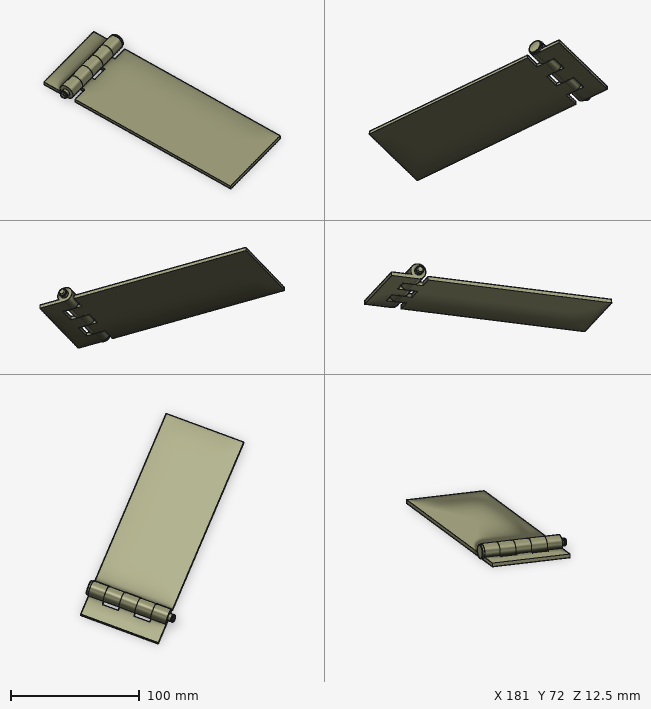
import cadquery as cq

TOTAL_WIDTH = 181.0
LEAF_LENGTH = 65.0
LEAF_THICKNESS = 3.0
END_SLANT = 0.4

KNUCKLE_RADIUS = 12.5 / 2
KNUCKLE_COUNT = 5
OUTER_KNUCKLE_LENGTH = 12.7
INNER_KNUCKLE_LENGTH = (LEAF_LENGTH - 2 * OUTER_KNUCKLE_LENGTH) / (KNUCKLE_COUNT - 2)
AXIS_X = 21.9
AXIS_Z = KNUCKLE_RADIUS
LEAF_SETBACK = 8.1

PIN_RADIUS = 3.0
HEAD_RADIUS = 5.8
HEAD_LENGTH = 2.0
HEAD_CHAMFER = 0.5
TIP_LENGTH = 72.0 - LEAF_LENGTH - HEAD_LENGTH
TIP_CHAMFER = 0.9
GROOVE_RADIUS = 2.7
GROOVE_WIDTH = 0.9
GROOVE_OFFSET = 2.5


def box(x_start, x_end, y_start, y_end, height):
    """Box standing on the underside plane of the leaves."""
    return cq.Workplane("XY").box(
        x_end - x_start, y_end - y_start, height, centered=False
    ).translate((x_start, y_start, 0))


def axis_cylinder(radius, y_start, y_end):
    """Cylinder on the pin axis."""
    return (
        cq.Workplane("XZ", origin=(AXIS_X, y_start, AXIS_Z))
        .circle(radius)
        .extrude(y_start - y_end)
    )


def knuckle_span(index):
    """Start and end of a knuckle along Y, counted from the pin tip end."""
    def boundary(number):
        if number == 0:
            return 0.0
        if number == KNUCKLE_COUNT:
            return LEAF_LENGTH
        return OUTER_KNUCKLE_LENGTH + (number - 1) * INNER_KNUCKLE_LENGTH

    return boundary(index), boundary(index + 1)


def make_leaf(outer_edge_x, side, knuckle_indices):
    """Leaf on one side of the axis (-1 or +1) with its share of the knuckles."""
    inner_edge_x = AXIS_X + side * LEAF_SETBACK
    x_start, x_end = sorted((outer_edge_x, inner_edge_x))
    leaf = box(x_start, x_end, 0, LEAF_LENGTH, LEAF_THICKNESS)
    for index in knuckle_indices:
        y_start, y_end = knuckle_span(index)
        x_start, x_end = sorted((inner_edge_x, AXIS_X))
        leaf = leaf.union(box(x_start, x_end, y_start, y_end, LEAF_THICKNESS))
        leaf = leaf.union(axis_cylinder(KNUCKLE_RADIUS, y_start, y_end))
    return leaf.cut(axis_cylinder(PIN_RADIUS, 0, LEAF_LENGTH))


def make_pin():
    """Headed pin with a retaining groove close to its chamfered tip."""
    shank = axis_cylinder(PIN_RADIUS, -TIP_LENGTH, LEAF_LENGTH).faces("<Y").chamfer(TIP_CHAMFER)
    head = axis_cylinder(HEAD_RADIUS, LEAF_LENGTH, LEAF_LENGTH + HEAD_LENGTH)
    head = head.faces(">Y").chamfer(HEAD_CHAMFER)
    groove_start = -GROOVE_OFFSET - GROOVE_WIDTH
    groove = axis_cylinder(PIN_RADIUS, groove_start, -GROOVE_OFFSET).cut(
        axis_cylinder(GROOVE_RADIUS, groove_start, -GROOVE_OFFSET)
    )
    return shank.union(head).cut(groove)


def slanted_end():
    """Wedge that leans the free end of the wide leaf inwards at the top."""
    return (
        cq.Workplane("XZ")
        .moveTo(TOTAL_WIDTH, 0)
        .lineTo(TOTAL_WIDTH, LEAF_THICKNESS)
        .lineTo(TOTAL_WIDTH - END_SLANT, LEAF_THICKNESS)
        .close()
        .extrude(-LEAF_LENGTH)
    )


narrow_leaf = make_leaf(0, -1, range(0, KNUCKLE_COUNT, 2))
wide_leaf = make_leaf(TOTAL_WIDTH, 1, range(1, KNUCKLE_COUNT, 2)).cut(slanted_end())
pin = make_pin()

result = cq.Compound.makeCompound([narrow_leaf.val(), wide_leaf.val(), pin.val()])